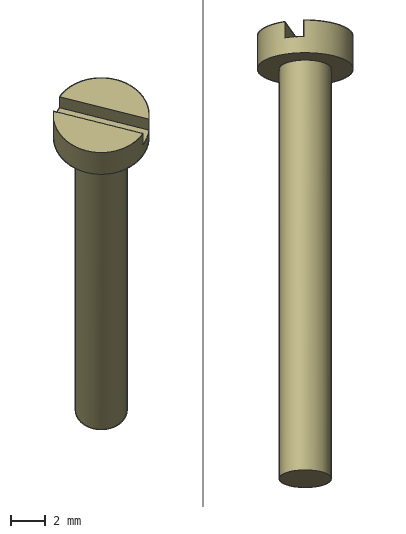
import cadquery as cq

total_length = 27.0
head_diameter = 5.5
head_height = 2.0
shank_diameter = 3.0
slot_width = 1.1
slot_depth = 1.0

shank_length = total_length - head_height

shank = cq.Workplane("XY").circle(shank_diameter / 2).extrude(shank_length)

head = (
    cq.Workplane("XY")
    .workplane(offset=shank_length)
    .circle(head_diameter / 2)
    .extrude(head_height)
)

slot = (
    cq.Workplane("XY")
    .workplane(offset=total_length - slot_depth)
    .rect(head_diameter, slot_width)
    .extrude(slot_depth)
)

result = shank.union(head).cut(slot)